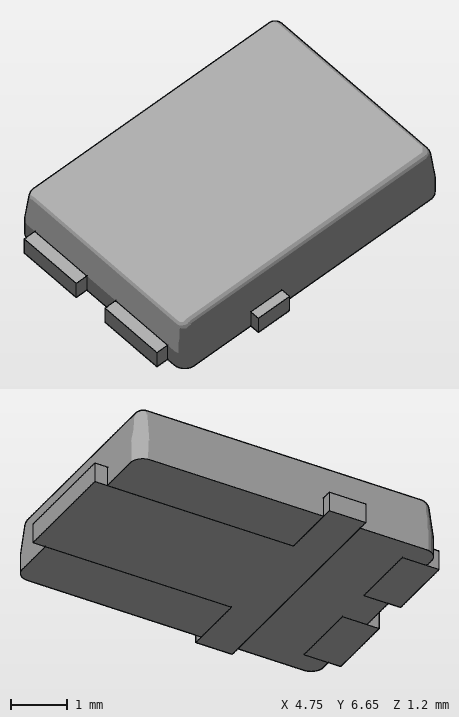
import cadquery as cq

overall_width = 4.75
overall_length = 6.65
overall_height = 1.2

housing_width = 4.35
housing_length = 6.145
corner_radius = 0.25
draft_angle = 7.0
top_fillet = 0.2

metal_thickness = 0.4

stem_width = 2.2
bar_width = 0.745
bar_center_y = -1.1

lead_width = 1.37
lead_gap = 0.76
lead_embedded_length = 0.5

lead_spacing = lead_width + lead_gap
lead_length = (overall_length - housing_length) / 2 + lead_embedded_length
lead_center_y = (lead_length - overall_length) / 2


def block(width, length, height, center_x, center_y):
    """Upright rectangular block standing on the Z = 0 plane."""
    return (
        cq.Workplane("XY")
        .center(center_x, center_y)
        .rect(width, length)
        .extrude(height)
    )


def rounded_outline():
    """Housing footprint with rounded corners."""
    return cq.Sketch().rect(housing_width, housing_length).vertices().fillet(corner_radius)


def make_cathode():
    """T-shaped plate: the stem runs from the +Y end down to the far edge of the bar."""
    stem_start_y = bar_center_y - bar_width / 2
    stem_end_y = overall_length / 2
    stem = block(
        stem_width,
        stem_end_y - stem_start_y,
        metal_thickness,
        0,
        (stem_start_y + stem_end_y) / 2,
    )
    bar = block(overall_width, bar_width, metal_thickness, 0, bar_center_y)
    return stem.union(bar)


def make_lead(center_x):
    """Flat anode lead, partly embedded in the housing."""
    return block(lead_width, lead_length, metal_thickness, center_x, lead_center_y)


def make_housing(metal_parts):
    """Moulded housing with a recess in its underside for each metal part."""
    base = cq.Workplane("XY").placeSketch(rounded_outline()).extrude(metal_thickness)
    cap = (
        cq.Workplane("XY", origin=(0, 0, metal_thickness))
        .placeSketch(rounded_outline())
        .extrude(overall_height - metal_thickness, taper=draft_angle)
        .faces(">Z")
        .edges()
        .fillet(top_fillet)
    )
    housing = base.union(cap)
    for part in metal_parts:
        housing = housing.cut(part)
    return housing


cathode = make_cathode()
leads = [make_lead(side * lead_spacing / 2) for side in (-1, 1)]
housing = make_housing([cathode, *leads])

result = cq.Compound.makeCompound(
    [housing.val(), cathode.val(), *[lead.val() for lead in leads]]
)